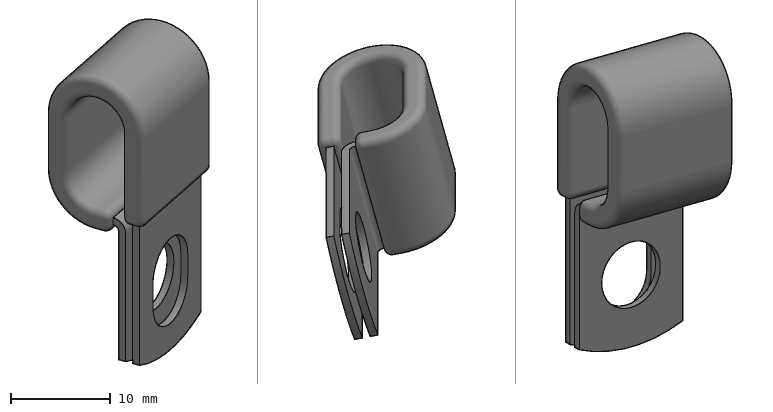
import cadquery as cq
import math

outer_width = 11.15
depth = 14.28
height = 33.28
strap_thickness = 0.8
edge_radius = 0.8
left_straight = 6.32
right_leg_length = 10.35
stub_length = 1.73
tab_gap = 0.8
tab_bend_radius = 1.4
hole_diameter = 7.15
slot_travel = 2.6
hole_drop = 25.35
tip_sag = 1.3

cushion_thickness = strap_thickness + 2 * edge_radius
outer_radius = outer_width / 2
inner_radius = outer_radius - cushion_thickness
mid_radius = outer_radius - cushion_thickness / 2
strap_width = depth - 2 * edge_radius
lower_center_z = -left_straight
bottom_z = outer_radius - height
hole_z = outer_radius - hole_drop
diagonal = math.sqrt(0.5)
right_tab_x = mid_radius - strap_thickness / 2
left_tab_x = right_tab_x - tab_gap - strap_thickness


def extrude_across(sketch, width):
    """Extrude an XZ outline symmetrically about the mid plane."""
    return sketch.extrude(width / 2, both=True)


def make_cushion():
    """Hooked loop with all its edges rounded."""
    outline = (
        cq.Workplane("XZ")
        .moveTo(outer_radius, -right_leg_length)
        .lineTo(outer_radius, 0)
        .threePointArc((0, outer_radius), (-outer_radius, 0))
        .lineTo(-outer_radius, lower_center_z)
        .threePointArc(
            (-outer_radius * diagonal, lower_center_z - outer_radius * diagonal),
            (0, lower_center_z - outer_radius),
        )
        .lineTo(stub_length, lower_center_z - outer_radius)
        .lineTo(stub_length, lower_center_z - inner_radius)
        .lineTo(0, lower_center_z - inner_radius)
        .threePointArc(
            (-inner_radius * diagonal, lower_center_z - inner_radius * diagonal),
            (-inner_radius, lower_center_z),
        )
        .lineTo(-inner_radius, 0)
        .threePointArc((0, inner_radius), (inner_radius, 0))
        .lineTo(inner_radius, -right_leg_length)
        .close()
    )
    return extrude_across(outline, depth).edges().fillet(edge_radius)


def make_right_tab():
    """Straight strap running down out of the long leg."""
    outline = (
        cq.Workplane("XZ")
        .moveTo(right_tab_x, 0)
        .lineTo(right_tab_x + strap_thickness, 0)
        .lineTo(right_tab_x + strap_thickness, bottom_z)
        .lineTo(right_tab_x, bottom_z)
        .close()
    )
    return extrude_across(outline, strap_width)


def make_left_tab():
    """Strap leaving the lip horizontally and bending downward."""
    strap_top_z = lower_center_z - mid_radius + strap_thickness / 2
    strap_under_z = strap_top_z - strap_thickness
    bend_x = left_tab_x + strap_thickness - tab_bend_radius
    bend_z = strap_top_z - tab_bend_radius
    bend_inner_radius = tab_bend_radius - strap_thickness
    outline = (
        cq.Workplane("XZ")
        .moveTo(0, strap_top_z)
        .lineTo(bend_x, strap_top_z)
        .threePointArc(
            (bend_x + tab_bend_radius * diagonal, bend_z + tab_bend_radius * diagonal),
            (left_tab_x + strap_thickness, bend_z),
        )
        .lineTo(left_tab_x + strap_thickness, bottom_z)
        .lineTo(left_tab_x, bottom_z)
        .lineTo(left_tab_x, bend_z)
        .threePointArc(
            (bend_x + bend_inner_radius * diagonal, bend_z + bend_inner_radius * diagonal),
            (bend_x, strap_under_z),
        )
        .lineTo(0, strap_under_z)
        .close()
    )
    return extrude_across(outline, strap_width)


def make_tab_envelope():
    """Face shape shared by both tabs, with a curved tip."""
    half_width = strap_width / 2
    return (
        cq.Workplane("YZ")
        .moveTo(-half_width, 0)
        .lineTo(-half_width, bottom_z + tip_sag)
        .threePointArc((0, bottom_z), (half_width, bottom_z + tip_sag))
        .lineTo(half_width, 0)
        .close()
        .extrude(outer_radius)
    )


def make_round_hole():
    """Bolt hole through the left tab."""
    return (
        cq.Workplane("YZ", origin=(left_tab_x, 0, hole_z))
        .circle(hole_diameter / 2)
        .extrude(strap_thickness)
    )


def make_slot():
    """Vertical adjustment slot through the right tab."""
    return (
        cq.Workplane("YZ", origin=(right_tab_x, 0, hole_z))
        .slot2D(hole_diameter + slot_travel, hole_diameter, 90)
        .extrude(strap_thickness)
    )


left_tab = make_left_tab().intersect(make_tab_envelope()).cut(make_round_hole())
right_tab = make_right_tab().intersect(make_tab_envelope()).cut(make_slot())
result = make_cushion().union(left_tab).union(right_tab)